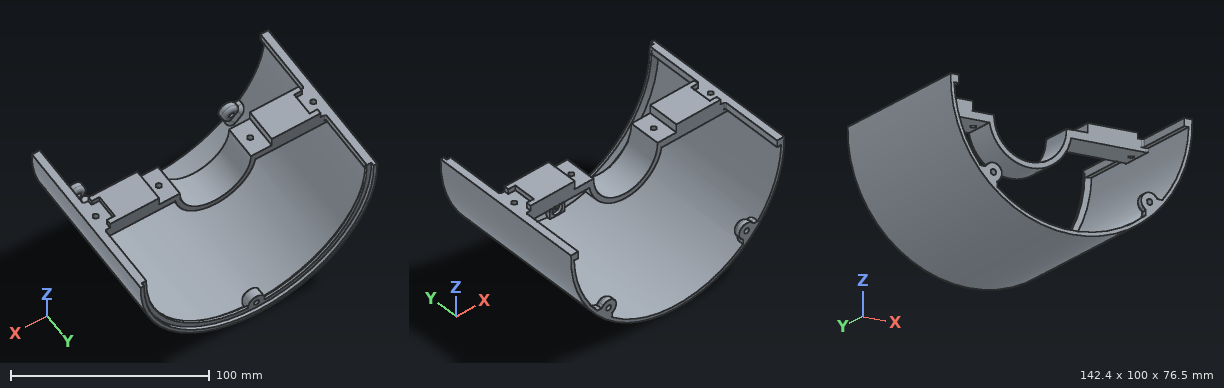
import cadquery as cq
import math

outer_radius = 71.2
wall = 2.1
inner_radius = outer_radius - wall
embedded_radius = inner_radius + wall / 2
length = 100.0
half_length = length / 2
rim_top = 2.1

rail_width = 4.8
rail_inner_x = outer_radius - rail_width
rail_bottom = -2.3

socket_depth = 2.1
ring_land = 1.5
ring_radius = rail_inner_x
ring_taper_length = 2.1
ring_face_y = half_length - socket_depth

bridge_width = 20.0
bridge_bottom = -4.5
neck_radius = 21.3
neck_wall = 3.1
neck_outer_radius = neck_radius + neck_wall
pad_inner_x = 33.9
pad_outer_x = 63.3
pad_top = 5.3
notch_depth = 4.7
notch_width = 14.1
corner_radius = 1.0

screw_diameter = 3.1
tab_screw_x = 27.5
rail_screw_x = 65.5
lug_circle_radius = 65.0
lug_radius = 5.0
end_lug_angle = 45.0
end_lug_length = 4.8
end_lug_rounding = 2.1
end_lug_root_chamfer = 2.0
ring_lug_length = 5.5
counterbore_diameter = 6.5
counterbore_depth = 2.1
selection_margin = 0.1


def box(x0, x1, y0, y1, z0, z1):
    return cq.Workplane("XY").box(x1 - x0, y1 - y0, z1 - z0, centered=False).translate((x0, y0, z0))


def along_y(sketch_plane_y):
    """XZ sketch plane at the given Y; positive extrusions run toward -Y."""
    return cq.Workplane("XZ", origin=(0, sketch_plane_y, 0))


def both_sides(solid):
    return solid.union(solid.mirror("YZ"))


def trough(radius, y_start, y_end):
    """Solid cylinder about the Y axis, cut off flat at the rim."""
    rim_x = math.sqrt(radius**2 - rim_top**2)
    return (
        along_y(y_end)
        .moveTo(-rim_x, rim_top)
        .threePointArc((0, -radius), (rim_x, rim_top))
        .close()
        .extrude(y_end - y_start)
    )


def make_shell():
    return trough(outer_radius, -half_length, half_length).cut(
        trough(inner_radius, -half_length, half_length)
    )


def make_rails():
    return both_sides(
        box(rail_inner_x, embedded_radius, -half_length, ring_face_y, rail_bottom, rim_top)
    )


def make_ring():
    """Lower half ring with a flat land and a tapered -Y flank."""
    land_y = ring_face_y - ring_land
    return (
        cq.Workplane("XY")
        .moveTo(embedded_radius, ring_face_y)
        .lineTo(ring_radius, ring_face_y)
        .lineTo(ring_radius, land_y)
        .lineTo(inner_radius, land_y - ring_taper_length)
        .lineTo(embedded_radius, land_y - ring_taper_length)
        .close()
        .revolve(180, (0, 0, 0), (0, 1, 0))
    )


def make_bridge():
    half_width = bridge_width / 2
    beam = box(neck_radius, outer_radius, -half_width, half_width, bridge_bottom, 0)
    pad = box(pad_inner_x, pad_outer_x, -half_width, half_width, bridge_bottom, pad_top)
    foot = box(pad_outer_x, outer_radius, -half_width, half_width, bridge_bottom, rim_top)
    notch = box(
        pad_outer_x - notch_depth, pad_outer_x, -notch_width / 2, notch_width / 2, rim_top, pad_top
    )
    side = beam.union(pad).union(foot).cut(notch)
    neck = (
        along_y(half_width)
        .moveTo(-neck_outer_radius, 0)
        .threePointArc((0, -neck_outer_radius), (neck_outer_radius, 0))
        .close()
        .extrude(bridge_width)
    )
    bore = along_y(half_width).circle(neck_radius).extrude(bridge_width)
    return (
        both_sides(side)
        .union(neck)
        .cut(bore)
        .intersect(trough(outer_radius, -half_length, half_length).union(both_sides(pad)))
    )


def round_bridge_corners(body):
    """Fillet the upright corners where the bridge meets the rails and the shell wall."""
    reach = selection_margin
    half_width = bridge_width / 2
    lowest = bridge_bottom - reach
    for corner_x in (inner_radius, rail_inner_x):
        for x in (-corner_x, corner_x):
            for y in (-half_width, half_width):
                corner = cq.selectors.BoxSelector(
                    (x - reach, y - reach, lowest), (x + reach, y + reach, rim_top - reach)
                )
                body = body.edges(corner).fillet(corner_radius)
    return body


def lug_prism(y_start, depth):
    """Round-topped prism at the bottom of the shell, rooted in the wall, running from y_start."""
    return (
        along_y(y_start)
        .moveTo(-lug_radius, -lug_circle_radius)
        .threePointArc((0, lug_radius - lug_circle_radius), (lug_radius, -lug_circle_radius))
        .lineTo(lug_radius, -outer_radius)
        .lineTo(-lug_radius, -outer_radius)
        .close()
        .extrude(-depth)
    )


def make_end_lug(angle):
    """Lug at the -Y end with a rounded inner end and a chamfered root, on a patch of wall."""
    patch_half_width = 2 * lug_radius
    patch = make_shell().intersect(
        box(-patch_half_width, patch_half_width, -half_length, 0, -outer_radius, 0)
    )
    lug = lug_prism(-half_length, end_lug_length)
    lug = lug.faces(">Y").edges("not <Z").fillet(end_lug_rounding)
    lug = lug.intersect(trough(embedded_radius, -half_length, half_length))
    reach_x = lug_radius + selection_margin
    root_sag = lug_radius**2 / inner_radius
    root_edges = cq.selectors.BoxSelector(
        (-reach_x, -half_length + selection_margin, -inner_radius - selection_margin),
        (reach_x, -half_length + end_lug_length + selection_margin, -inner_radius + root_sag),
    )
    lug = patch.union(lug).edges(root_edges).chamfer(end_lug_root_chamfer)
    return lug.rotate((0, 0, 0), (0, 1, 0), angle)


def make_ring_lug():
    """Lug at the bottom of the ring."""
    return lug_prism(ring_face_y - ring_lug_length, ring_lug_length).intersect(
        trough(embedded_radius, -half_length, half_length)
    )


def lug_hole(angle, y_start, depth, diameter):
    return (
        along_y(y_start)
        .center(0, -lug_circle_radius)
        .circle(diameter / 2)
        .extrude(-depth)
        .rotate((0, 0, 0), (0, 1, 0), angle)
    )


body = make_shell().union(make_rails()).union(make_ring()).union(make_bridge())
body = round_bridge_corners(body)

for angle in (-end_lug_angle, end_lug_angle):
    body = body.union(make_end_lug(angle))
    body = body.cut(lug_hole(angle, -half_length, end_lug_length, screw_diameter))

ring_lug_face_y = ring_face_y - ring_lug_length
body = body.union(make_ring_lug())
body = body.cut(lug_hole(0, ring_lug_face_y, ring_lug_length, screw_diameter))
body = body.cut(lug_hole(0, ring_lug_face_y, counterbore_depth, counterbore_diameter))

screw_positions = [(x, 0) for x in (-rail_screw_x, -tab_screw_x, tab_screw_x, rail_screw_x)]
screw_holes = (
    cq.Workplane("XY", origin=(0, 0, bridge_bottom))
    .pushPoints(screw_positions)
    .circle(screw_diameter / 2)
    .extrude(pad_top - bridge_bottom)
)
result = body.cut(screw_holes)